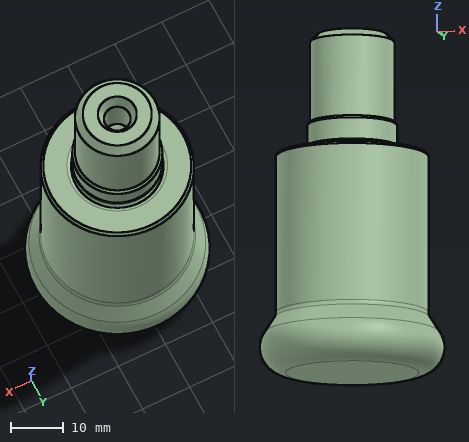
import cadquery as cq
import math

handle_height = 42.0
handle_radius = 29.0 / 2
handle_chamfer = 0.5
rim_radius = 35.0 / 2
rim_round = 4.9
flare_angle = math.radians(33)
neck_round = 1.7

total_height = 65.0
shaft_radius = 16.0 / 2
shaft_chamfer = 1.5
collar_radius = 17.0 / 2
collar_top = 48.05
collar_bottom = 43.2
neck_radius = 16.6 / 2
foot_fillet = 0.45
seat_radius = neck_radius + foot_fillet
seat_depth = 13.0
bore_mouth_radius = 19.0 / 2
bore_mouth_depth = 0.2
collar_top_chamfer = collar_radius - shaft_radius
collar_bottom_chamfer = collar_radius - neck_radius

centre_hole_radius = 5.0 / 2
centre_hole_depth = 9.75
countersink_radius = 7.35 / 2
countersink_half_angle = math.radians(30)
drill_half_angle = math.radians(59)

seat_top = handle_height - bore_mouth_depth
bore_floor = handle_height - seat_depth


def revolve_about_z(outline):
    """Turn a closed (radius, height) outline on the XZ plane into a solid about Z."""
    return outline.close().revolve(360, (0, 0, 0), (0, 1, 0))


def make_handle():
    rim_centre_radius = rim_radius - rim_round
    flare_cos = math.cos(flare_angle)
    flare_sin = math.sin(flare_angle)
    flare_foot = (rim_centre_radius + rim_round * flare_cos, rim_round + rim_round * flare_sin)
    mid_angle = (flare_angle - math.pi / 2) / 2
    rim_middle = (
        rim_centre_radius + rim_round * math.cos(mid_angle),
        rim_round + rim_round * math.sin(mid_angle),
    )
    corner_height = flare_foot[1] + (flare_foot[0] - handle_radius) / math.tan(flare_angle)
    blend_length = neck_round * math.tan(flare_angle / 2)
    blend_start = (
        handle_radius + blend_length * flare_sin,
        corner_height - blend_length * flare_cos,
    )
    blend_end = (handle_radius, corner_height + blend_length)
    blend_middle = (
        handle_radius + neck_round * (1 - math.cos(flare_angle / 2)),
        blend_end[1] - neck_round * math.sin(flare_angle / 2),
    )
    return revolve_about_z(
        cq.Workplane("XZ")
        .moveTo(0, 0)
        .lineTo(rim_centre_radius, 0)
        .threePointArc(rim_middle, flare_foot)
        .lineTo(*blend_start)
        .threePointArc(blend_middle, blend_end)
        .lineTo(handle_radius, handle_height - handle_chamfer)
        .lineTo(handle_radius - handle_chamfer, handle_height)
        .lineTo(bore_mouth_radius, handle_height)
        .lineTo(seat_radius, seat_top)
        .lineTo(seat_radius, bore_floor)
        .lineTo(0, bore_floor)
    )


def make_pin():
    countersink_depth = (countersink_radius - centre_hole_radius) / math.tan(countersink_half_angle)
    drill_tip_depth = centre_hole_radius / math.tan(drill_half_angle)
    fillet_sag = foot_fillet * (1 - math.sqrt(0.5))
    fillet_middle = (neck_radius + fillet_sag, seat_top + fillet_sag)
    hole_floor = total_height - centre_hole_depth
    return revolve_about_z(
        cq.Workplane("XZ")
        .moveTo(0, bore_floor)
        .lineTo(seat_radius, bore_floor)
        .lineTo(seat_radius, seat_top)
        .threePointArc(fillet_middle, (neck_radius, seat_top + foot_fillet))
        .lineTo(neck_radius, collar_bottom)
        .lineTo(collar_radius, collar_bottom + collar_bottom_chamfer)
        .lineTo(collar_radius, collar_top - collar_top_chamfer)
        .lineTo(shaft_radius, collar_top)
        .lineTo(shaft_radius, total_height - shaft_chamfer)
        .lineTo(shaft_radius - shaft_chamfer, total_height)
        .lineTo(countersink_radius, total_height)
        .lineTo(centre_hole_radius, total_height - countersink_depth)
        .lineTo(centre_hole_radius, hole_floor)
        .lineTo(0, hole_floor - drill_tip_depth)
    )


handle = make_handle()
pin = make_pin()

result = cq.Compound.makeCompound([handle.val(), pin.val()])